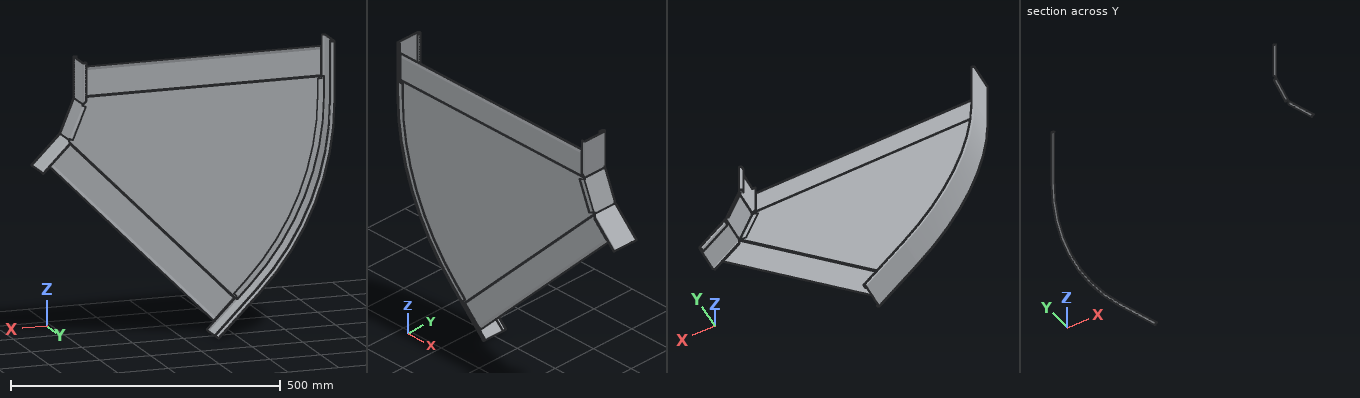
import cadquery as cq
import math


bend_angle = 45.0
bend_radius = 500.0
arm_length = 116.0
wall_height = 57.0
sheet = 1.5
inner_wall_shift = 3.65
inner_wall_x = bend_radius - inner_wall_shift
inner_arm_length = 79.0

foot_radius = 1.8
foot_width = 7.0
wide_foot_width = 15.0
wide_foot_start = 83.5
lip_radius = 3.5
lip_width = 7.5
lip_depth = 10.0
knee_relief = 2.5

floor_clearance = 3.0
tongue_clearance = 8.5
tongue_start = 21.0
end_step_start = 22.5
end_step_end = 28.0
step_start = 77.5
step_end = 79.5

half_angle = math.radians(bend_angle / 2)
full_angle = math.radians(bend_angle)
diagonal = math.sqrt(0.5)
centre = (bend_radius, -arm_length)
mirror_normal = cq.Vector(-math.sin(half_angle), 0, math.cos(half_angle))
mirror_base = (centre[0], 0, centre[1])


def mirrored(body):
    """Reflect a body from the first arm to the second."""
    return body.mirror(mirror_normal, mirror_base)


def mirrored_point(point):
    """Reflect an (X, Z) point from the first arm to the second."""
    dx = point[0] - centre[0]
    dz = point[1] - centre[1]
    cosine = math.cos(full_angle)
    sine = math.sin(full_angle)
    return (centre[0] + dx * cosine + dz * sine, centre[1] + dx * sine - dz * cosine)


def arc_point(radius, angle):
    """(X, Z) point on an arc about the bend centre; angle in radians from the first arm."""
    return (centre[0] - radius * math.cos(angle), centre[1] - radius * math.sin(angle))


def plate(points, bottom, thickness):
    """Flat plate with an (X, Z) outline, from Y = bottom toward +Y."""
    return cq.Workplane("XZ", origin=(0, bottom, 0)).polyline(points).close().extrude(-thickness)



def wall_section(face_x, inward, foot, z):
    """Closed section of a wall: foot flange, upright and hooked lip, all toward `inward` (+1 or -1)."""
    def at(depth, y):
        return (face_x + inward * depth, y)

    foot_mid = foot_radius * (1 - diagonal)
    foot_inner_mid = foot_radius - (foot_radius - sheet) * diagonal
    lip_y = wall_height - lip_radius
    lip_far = lip_width - lip_radius
    lip_end_y = wall_height - lip_depth
    lip_reach = lip_radius * diagonal
    lip_inner_reach = (lip_radius - sheet) * diagonal
    return (
        cq.Workplane("XY", origin=(0, 0, z))
        .moveTo(*at(foot, 0))
        .lineTo(*at(foot_radius, 0))
        .threePointArc(at(foot_mid, foot_mid), at(0, foot_radius))
        .lineTo(*at(0, lip_y))
        .threePointArc(at(lip_radius - lip_reach, lip_y + lip_reach), at(lip_radius, wall_height))
        .lineTo(*at(lip_far, wall_height))
        .threePointArc(at(lip_far + lip_reach, lip_y + lip_reach), at(lip_width, lip_y))
        .lineTo(*at(lip_width, lip_end_y))
        .lineTo(*at(lip_width - sheet, lip_end_y))
        .lineTo(*at(lip_width - sheet, lip_y))
        .threePointArc(
            at(lip_far + lip_inner_reach, lip_y + lip_inner_reach), at(lip_far, wall_height - sheet)
        )
        .lineTo(*at(lip_radius, wall_height - sheet))
        .threePointArc(at(lip_radius - lip_inner_reach, lip_y + lip_inner_reach), at(sheet, lip_y))
        .lineTo(*at(sheet, foot_radius))
        .threePointArc(at(foot_inner_mid, foot_inner_mid), at(foot_radius, sheet))
        .lineTo(*at(foot, sheet))
        .close()
    )


def make_outer_wall():
    narrow = wall_section(0, 1, foot_width, -wide_foot_start).extrude(wide_foot_start)
    wide = wall_section(0, 1, wide_foot_width, -arm_length).extrude(arm_length - wide_foot_start)
    arm = narrow.union(wide)
    curve = wall_section(0, 1, wide_foot_width, -arm_length).revolve(
        bend_angle, (bend_radius, 0, 0), (bend_radius, -1, 0)
    )
    return arm.union(curve).union(mirrored(arm))


knee = (inner_wall_x, -inner_arm_length)
far_knee = mirrored_point(knee)
slant_length = math.dist(knee, far_knee)
slant_direction = (math.sin(half_angle), -math.cos(half_angle))
slant_inward = (-math.cos(half_angle), -math.sin(half_angle))


def from_knee(along, inward):
    """(X, Z) point measured from the knee, along the slant and toward the floor."""
    return (
        knee[0] + along * slant_direction[0] + inward * slant_inward[0],
        knee[1] + along * slant_direction[1] + inward * slant_inward[1],
    )


def slant_strip(start, end):
    """(X, Z) outline of a strip along the slant between two distances inward from its face."""
    far_end = slant_length - knee_relief
    return [
        from_knee(knee_relief, start),
        from_knee(knee_relief, end),
        from_knee(far_end, end),
        from_knee(far_end, start),
    ]


def knee_notch(start):
    """(X, Z) outline cleared at the knee, beginning `start` inward from the wall's face.

    It cuts the arm's flange off at 45 degrees and the slant's flange square.
    """
    return [
        (knee[0] - start, knee[1] + start),
        (knee[0] - wide_foot_width, knee[1] + wide_foot_width),
        from_knee(knee_relief, wide_foot_width),
        from_knee(knee_relief, start),
    ]


def make_inner_wall():
    arm_end = (inner_wall_x, 0)
    path = cq.Workplane("XZ").polyline([arm_end, knee, far_knee, mirrored_point(arm_end)])
    wall = wall_section(inner_wall_x, -1, foot_width, 0).sweep(path, transition="right")

    wall = wall.union(plate(slant_strip(foot_radius, wide_foot_width), 0, sheet))

    hook_bottom = wall_height - lip_depth
    hook = plate(slant_strip(lip_radius, wide_foot_width), hook_bottom, lip_depth - sheet)
    wall = wall.cut(hook)

    foot_notch = plate(knee_notch(0), 0, foot_radius)
    lip_notch = plate(knee_notch(0), wall_height - lip_radius, lip_radius)
    hook_notch = plate(knee_notch(lip_radius), hook_bottom, lip_depth)
    for notch in (foot_notch, lip_notch, hook_notch):
        wall = wall.cut(notch).cut(mirrored(notch))
    return wall



def make_tongue():
    """End strip of the floor, flush with the foot flanges, its end stepped back to floor level."""
    far_edge = inner_wall_x - floor_clearance
    strip = (
        cq.Workplane("YZ", origin=(tongue_clearance, 0, 0))
        .polyline([
            (sheet, -step_end),
            (0, -step_start),
            (0, -end_step_end),
            (sheet, -end_step_start),
            (sheet, -tongue_start),
            (2 * sheet, -tongue_start),
            (2 * sheet, -end_step_start),
            (sheet, -end_step_end),
            (sheet, -step_start),
            (2 * sheet, -step_end),
        ])
        .close()
        .extrude(far_edge - tongue_clearance)
    )
    side = inner_wall_x - tongue_clearance
    flare_start = -step_start + far_edge - side
    trim = plate(
        [(side, 0), (side, flare_start), (far_edge, -step_start), (far_edge, 0)], 0, 2 * sheet
    )
    return strip.cut(trim)


def make_floor():
    edge_radius = bend_radius - floor_clearance
    outer_corner = (floor_clearance, -step_end)
    inner_corner = (inner_wall_x - floor_clearance, -step_end)
    panel = (
        cq.Workplane("XZ", origin=(0, sheet, 0))
        .moveTo(*outer_corner)
        .lineTo(*arc_point(edge_radius, 0))
        .threePointArc(arc_point(edge_radius, half_angle), arc_point(edge_radius, full_angle))
        .lineTo(*mirrored_point(outer_corner))
        .lineTo(*mirrored_point(inner_corner))
        .lineTo(*inner_corner)
        .close()
        .extrude(-sheet)
    )
    tongue = make_tongue()
    return panel.union(tongue).union(mirrored(tongue))


outer_wall = make_outer_wall()
inner_wall = make_inner_wall()
tray_floor = make_floor()

result = cq.Compound.makeCompound([
    tray_floor.solids().val(),
    outer_wall.solids().val(),
    inner_wall.solids().val(),
])